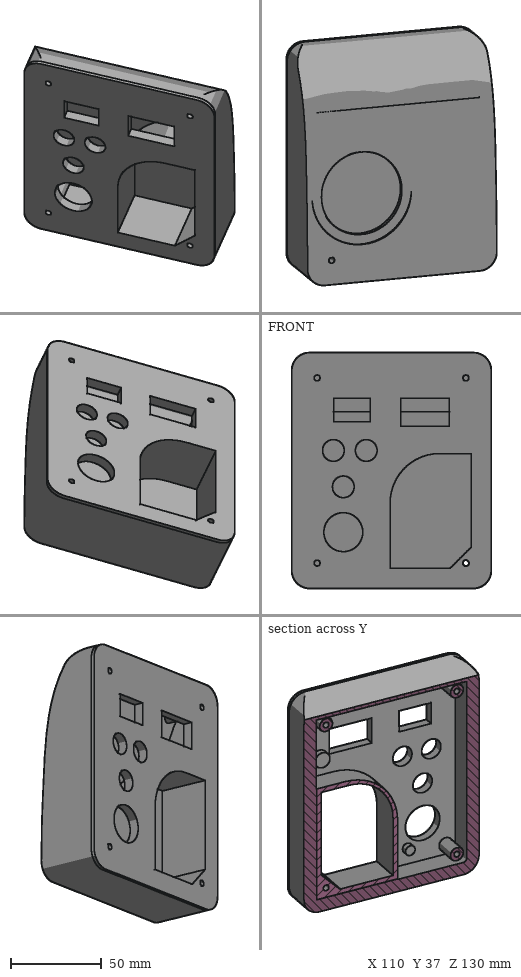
import cadquery as cq

width = 110.0
depth = 37.0
height = 130.0
corner_radius = 10.0

flange_thickness = 2.0
plug_thickness = 3.6
panel_thickness = flange_thickness + plug_thickness

wall = 7.9
cavity_corner_radius = corner_radius - wall
cavity_back = 30.0
crown_radius = 22.8
crown_drop = 10.0
crown_wall = 2.5
shoulder_y, shoulder_z = 30.2, 99.3
back_y, back_z = 35.5, 55.9

screw_inset = 14.0
screw_diameter = 3.2
boss_diameter = 8.3
pilot_end = 19.5

window_top = 104.9
small_window = (-31.8, 91.9, 20.0)
large_window = (5.2, 89.3, 26.6)

button_diameter = 12.0
button_centers = [(-32.0, 76.0), (-13.9, 76.0), (-26.5, 56.0)]
knob_diameter = 21.5
knob_center = (-26.5, 31.1)

sleeve_wall = 3.2
sleeve_arc_radius = 33.2
pocket_left = -0.8
pocket_right = width / 2 - wall - sleeve_wall
pocket_bottom = wall + sleeve_wall
pocket_top = 74.4
pocket_arc_radius = 27.3
pocket_chamfer = 11.6

standoff_end = 9.1
knob_standoff_diameter = 6.0
knob_standoff_center = (-16.9, 18.0)
window_standoff_diameter = 9.4
window_standoff_center = (38.1, 88.7)

recess_center = (23.1, 50.3)
recess_diameter = 46.8
recess_floor = 33.2
recess_step_diameter = 57.7
recess_step_floor = 35.9


def facing_panel(y):
    """Workplane at depth y whose local axes are X and Z; extrusions toward +Y are negative."""
    return cq.Workplane("XZ", origin=(0, y, 0))


def cylinder(diameter, centers, start, end):
    return facing_panel(start).pushPoints(centers).circle(diameter / 2).extrude(start - end)


def rounded_block(inset, radius, start, end):
    """Rounded rectangle, inset from the outer outline, between two depths."""
    block = facing_panel(start).center(0, height / 2).rect(width - 2 * inset, height - 2 * inset)
    return block.extrude(start - end).edges("|Y").fillet(radius)


def profile_prism(drop):
    """Side profile of the housing, lowered by a drop, swept across the whole width."""
    crown_rise = crown_radius - crown_drop
    crown_run = (crown_radius**2 - crown_rise**2) ** 0.5
    half_run = crown_run / 2
    half_drop = crown_radius - (crown_radius**2 - half_run**2) ** 0.5
    top = height - drop
    profile = (
        cq.Workplane("YZ", origin=(-width / 2, 0, 0))
        .moveTo(0, 0)
        .lineTo(0, top)
        .lineTo(flange_thickness, top)
        .threePointArc(
            (flange_thickness + half_run, top - half_drop),
            (flange_thickness + crown_run, top - crown_drop),
        )
        .spline(
            [(shoulder_y, shoulder_z - drop), (back_y, back_z - drop), (depth, 0)],
            tangents=[(crown_rise, -crown_run), (0, -1)],
            includeCurrent=True,
        )
        .close()
    )
    return profile.extrude(width)


def pocket_block(margin, arc_radius):
    """Pocket outline grown by a margin, with one large rounded corner, as deep as the cavity."""
    span_x = pocket_right - pocket_left + 2 * margin
    span_z = pocket_top - pocket_bottom + 2 * margin
    center_x = (pocket_left + pocket_right) / 2
    center_z = (pocket_bottom + pocket_top) / 2
    block = facing_panel(0).center(center_x, center_z).rect(span_x, span_z).extrude(-cavity_back)
    return block.edges("|Y and <X and >Z").fillet(arc_radius)


def pocket_opening():
    return pocket_block(0, pocket_arc_radius).edges("|Y and >X and <Z").chamfer(pocket_chamfer)


def sleeve_block():
    return pocket_block(sleeve_wall, sleeve_arc_radius)


def window_prism(left, bottom, span):
    center_x = left + span / 2
    center_z = (bottom + window_top) / 2
    opening = facing_panel(0).center(center_x, center_z).rect(span, window_top - bottom)
    return opening.extrude(-panel_thickness)


screw_x = width / 2 - screw_inset
screw_centers = [(x, z) for x in (-screw_x, screw_x) for z in (screw_inset, height - screw_inset)]
through_screw_center = (screw_x, screw_inset)


def make_panel():
    panel = rounded_block(0, corner_radius, 0, flange_thickness)
    plug = rounded_block(wall, cavity_corner_radius, flange_thickness, panel_thickness)
    panel = panel.union(plug)
    panel = panel.union(sleeve_block())
    panel = panel.union(cylinder(knob_standoff_diameter, [knob_standoff_center], 0, standoff_end))
    panel = panel.union(cylinder(window_standoff_diameter, [window_standoff_center], 0, standoff_end))
    panel = panel.cut(pocket_opening())
    for window in (small_window, large_window):
        panel = panel.cut(window_prism(*window))
    panel = panel.cut(cylinder(button_diameter, button_centers, 0, panel_thickness))
    panel = panel.cut(cylinder(knob_diameter, [knob_center], 0, panel_thickness))
    panel = panel.cut(cylinder(screw_diameter, screw_centers, 0, panel_thickness))
    return panel.cut(cylinder(screw_diameter, [through_screw_center], 0, cavity_back))


def make_housing():
    housing = rounded_block(0, corner_radius, flange_thickness, depth).intersect(profile_prism(0))
    cavity = rounded_block(wall, cavity_corner_radius, flange_thickness, cavity_back)
    cavity = cavity.intersect(profile_prism(crown_wall))
    bosses = cylinder(boss_diameter, screw_centers, panel_thickness, cavity_back)
    housing = housing.cut(cavity.cut(bosses))
    housing = housing.cut(sleeve_block())
    housing = housing.cut(cylinder(screw_diameter, screw_centers, flange_thickness, pilot_end))
    housing = housing.cut(cylinder(screw_diameter, [through_screw_center], flange_thickness, depth))
    housing = housing.cut(cylinder(recess_step_diameter, [recess_center], recess_step_floor, depth))
    return housing.cut(cylinder(recess_diameter, [recess_center], recess_floor, depth))


panel = make_panel()
housing = make_housing()
result = cq.Compound.makeCompound([panel.val(), housing.val()])